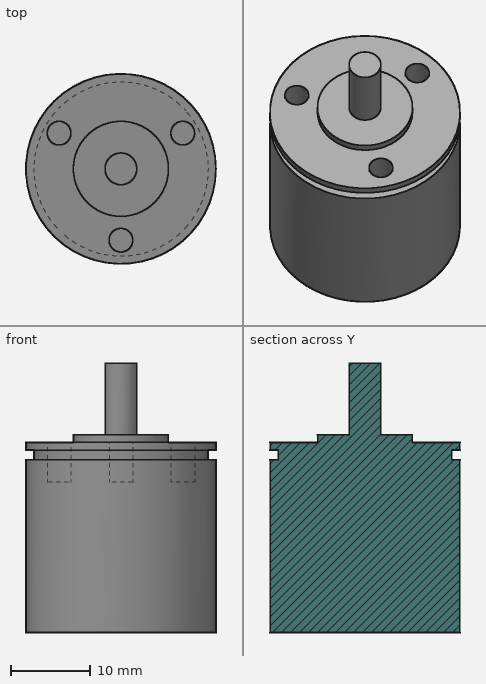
import cadquery as cq

total_height = 34.0
body_diameter = 24.0

shaft_diameter = 4.0
shaft_length = 9.0
pilot_diameter = 12.0
pilot_height = 1.0
flange_thickness = 1.0
groove_diameter = 22.0
groove_width = 1.2

hole_diameter = 3.0
hole_circle_radius = 9.0
hole_depth = 5.0
hole_count = 3
first_hole_angle = 30.0

pilot_top = total_height - shaft_length
flange_top = pilot_top - pilot_height
groove_top = flange_top - flange_thickness
groove_bottom = groove_top - groove_width


def cylinder(diameter, bottom, top):
    """Solid cylinder on the Z axis between two heights."""
    return cq.Workplane("XY").workplane(offset=bottom).circle(diameter / 2).extrude(top - bottom)


housing = (
    cylinder(body_diameter, 0, groove_bottom)
    .union(cylinder(groove_diameter, groove_bottom, groove_top))
    .union(cylinder(body_diameter, groove_top, flange_top))
    .union(cylinder(pilot_diameter, flange_top, pilot_top))
    .union(cylinder(shaft_diameter, pilot_top, total_height))
)

mounting_holes = (
    cq.Workplane("XY")
    .workplane(offset=flange_top - hole_depth)
    .polarArray(hole_circle_radius, first_hole_angle, 360, hole_count)
    .circle(hole_diameter / 2)
    .extrude(hole_depth)
)

result = housing.cut(mounting_holes)